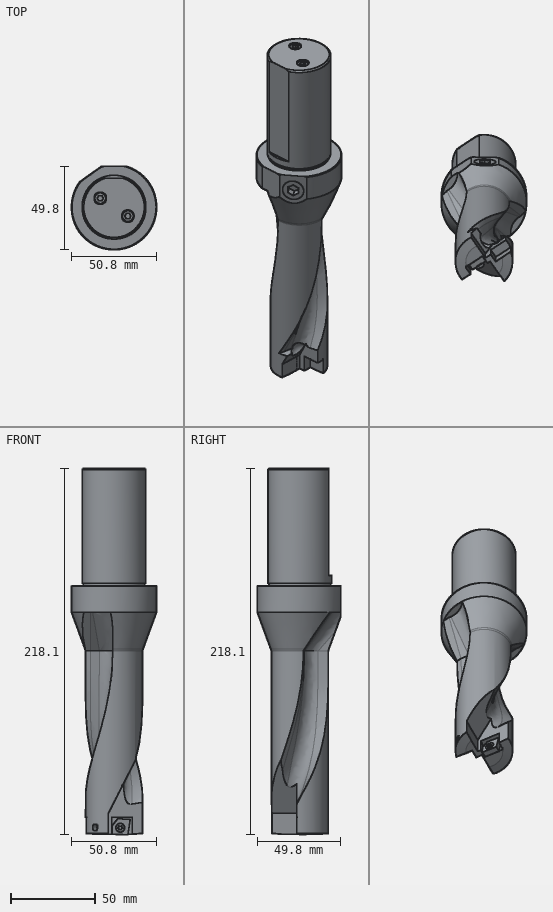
import cadquery as cq
import math

total_length = 218.11
shank_length = 70.0
shank_radius = 19.0
shank_chamfer = 1.0
neck_radius = 18.4
neck_length = 1.5
weldon_flat_distance = 17.2
weldon_flat_start = 6.2

flange_radius = 25.4
flange_height = 15.6
flange_edge_chamfer = 0.4
top_flat_angle = 90
top_flat_distance = 24.4
plug_flat_angle = 125.5
plug_flat_distance = 24.05
cone_height = 21.8
cone_end_radius = 17.4
drill_radius = 17.0
collar_height = 1.3

tip_rim_height = 0.9
tip_face_height = 0.4
tip_face_radius = 11.0

flange_z = total_length - shank_length
cone_top_z = flange_z - flange_height
cone_bottom_z = cone_top_z - cone_height
drill_top_z = cone_bottom_z - collar_height

flute_wall_x = -0.8
flute_wall_y = -2.7
flute_corner_radius = 8.0
flute_margin_x = -14.0
flute_margin_slope = 0.2
flute_reach = 40.0
flute_end_z = 17.0
flute_ball_radius = 5.0
flute_straight_z = 110.0
flute_twist_rate = 0.0113
flute_sections = 12
runout_rise = 23.0
runout_shift = 16.0
runout_corner_radius = 12.0

chip_face_y = -1.7
inner_chip_wall = (-3.3, 13.0)
outer_chip_wall = (2.2, 10.0)
chip_slant_run = 15.8
chip_slant_rise = 31.0

seat_floor = 3.6
seat_height = 10.6
inner_seat_x = (-1.4, 10.8)
outer_seat_x = (6.0, 20.0)

insert_corners = [(-1.2, 0.4), (8.2, 0.0), (9.6, 9.2), (2.3, 9.7), (-0.9, 5.9)]
insert_corner_radius = 0.4
screw_x = 3.7
screw_z = 4.3
screw_head_radius = 2.6
screw_head_height = 1.6
screw_shank_radius = 1.6
screw_length = 9.0
screw_socket_size = 2.4
screw_socket_depth = 1.2

land_hole_angle = -131.7
land_hole_z = 4.5
land_hole_radius = 2.0
land_hole_depth = 4.0

flange_plug_drop = 10.2
flange_plug_radius = 6.35
flange_plug_length = 9.0
flange_plug_key = 6.35
flange_plug_socket_depth = 5.0
shank_plug_x = 8.2
shank_plug_y = 5.3
shank_plug_radius = 3.2
shank_plug_length = 7.0
shank_plug_key = 3.2
shank_plug_socket_depth = 3.0
shank_plug_recess = 0.5
shank_plug_mouth_chamfer = 0.5


def direction(angle):
    return cq.Vector(math.cos(math.radians(angle)), math.sin(math.radians(angle)), 0)


def half_turn(shape):
    return shape.rotate((0, 0, 0), (0, 0, 1), 180)


def make_blank():
    outline = [
        (0, tip_face_height),
        (tip_face_radius, tip_face_height),
        (drill_radius, tip_rim_height),
        (drill_radius, drill_top_z),
        (cone_end_radius, cone_bottom_z),
        (flange_radius, cone_top_z),
        (flange_radius, flange_z - flange_edge_chamfer),
        (flange_radius - flange_edge_chamfer, flange_z),
        (neck_radius, flange_z),
        (neck_radius, flange_z + neck_length),
        (shank_radius, flange_z + neck_length),
        (shank_radius, total_length - shank_chamfer),
        (shank_radius - shank_chamfer, total_length),
        (0, total_length),
    ]
    return cq.Workplane("XZ").polyline(outline).close().revolve(360, (0, 0), (0, 1))


def make_flat_cutter(angle, distance, bottom, top):
    span = 2 * flange_radius
    block = cq.Workplane("XY").box(span, span, top - bottom, centered=(False, True, False))
    return block.translate((distance, 0, bottom)).rotate((0, 0, 0), (0, 0, 1), angle)


def flute_section(z, twist, shift=0.0, corner_radius=flute_corner_radius):
    margin_rise = flute_margin_slope * (flute_reach + flute_margin_x)
    section = (
        cq.Workplane("XY")
        .moveTo(flute_wall_x, -flute_reach)
        .lineTo(flute_wall_x, flute_wall_y - corner_radius)
        .radiusArc((flute_wall_x - corner_radius, flute_wall_y), -corner_radius)
        .lineTo(flute_margin_x, flute_wall_y)
        .lineTo(-flute_reach, flute_wall_y + margin_rise)
        .lineTo(-flute_reach, -flute_reach)
        .close()
        .val()
    )
    turned = section.rotate(cq.Vector(0, 0, 0), cq.Vector(0, 0, 1), twist)
    return turned.translate(cq.Vector(0, -shift, z))


def flute_twist(z):
    return -flute_twist_rate * (flute_straight_z - z) ** 2


def make_flute():
    step = (drill_top_z - flute_end_z) / flute_sections
    heights = [flute_end_z + step * i for i in range(flute_sections + 1)]
    helix = cq.Solid.makeLoft([flute_section(z, flute_twist(z)) for z in heights])
    top_twist = flute_twist(drill_top_z)
    runout = cq.Solid.makeLoft(
        [
            flute_section(drill_top_z, top_twist),
            flute_section(
                drill_top_z + runout_rise, top_twist, runout_shift, runout_corner_radius
            ),
        ],
        True,
    )
    ball_center = cq.Vector(
        flute_wall_x - flute_ball_radius, flute_wall_y - flute_ball_radius, flute_end_z
    )
    ball = (
        cq.Workplane("XY")
        .sphere(flute_ball_radius)
        .translate(ball_center)
        .rotate((0, 0, 0), (0, 0, 1), flute_twist(flute_end_z))
    )
    return [cq.Workplane(helix), cq.Workplane(runout), ball]


def make_chip_face(wall):
    wall_x, wall_height = wall
    slant_end_x = wall_x + chip_slant_run
    slant_end_z = wall_height + chip_slant_rise
    return (
        cq.Workplane("XZ", origin=(0, chip_face_y, 0))
        .moveTo(wall_x, 0)
        .lineTo(wall_x, wall_height)
        .lineTo(slant_end_x, slant_end_z)
        .lineTo(flange_radius, slant_end_z)
        .lineTo(flange_radius, 0)
        .close()
        .extrude(flange_radius)
    )


def make_seat(x_range):
    start, end = x_range
    depth = seat_floor - chip_face_y
    return cq.Workplane("XY").box(end - start, depth, seat_height, centered=False).translate(
        (start, chip_face_y, 0)
    )


def make_land_hole():
    mouth = direction(land_hole_angle) * drill_radius
    plane = cq.Plane(
        origin=(mouth.x, mouth.y, land_hole_z), xDir=(0, 0, 1), normal=direction(land_hole_angle)
    )
    return cq.Workplane(plane).circle(land_hole_radius).extrude(-land_hole_depth)


def make_screw_blank():
    profile = [
        (0, 0),
        (screw_head_radius, 0),
        (screw_shank_radius, screw_head_height),
        (screw_shank_radius, screw_length),
        (0, screw_length),
    ]
    screw = cq.Workplane("XY").polyline(profile).close().revolve(360, (0, 0), (0, 1))
    return screw.translate((screw_x, 0, screw_z))


def make_screw():
    socket = (
        cq.Workplane("XZ", origin=(screw_x, 0, screw_z))
        .polygon(6, screw_socket_size)
        .extrude(-screw_socket_depth)
    )
    return make_screw_blank().cut(socket)


def make_insert():
    plate = cq.Workplane("XZ").polyline(insert_corners).close().extrude(-seat_floor)
    return plate.edges("|Y").edges(">X or <X or >Z").fillet(insert_corner_radius).cut(make_screw_blank())


def make_plug_blank(plane, radius, length):
    return cq.Workplane(plane).circle(radius).extrude(-length)


def make_plug(plane, radius, length, key, socket_depth):
    corner_diameter = key / math.cos(math.radians(30))
    socket = cq.Workplane(plane).polygon(6, corner_diameter).extrude(-socket_depth)
    return make_plug_blank(plane, radius, length).cut(socket)


flange_plug_normal = direction(plug_flat_angle)
flange_plug_face = flange_plug_normal * plug_flat_distance
flange_plug_plane = cq.Plane(
    origin=(flange_plug_face.x, flange_plug_face.y, flange_z - flange_plug_drop),
    xDir=(0, 0, 1),
    normal=flange_plug_normal,
)
shank_plug_planes = [
    cq.Plane(origin=(-side * shank_plug_x, side * shank_plug_y, total_length - shank_plug_recess))
    for side in (1, -1)
]

body = make_blank()
body = body.cut(make_flat_cutter(top_flat_angle, top_flat_distance, drill_top_z, flange_z))
body = body.cut(make_flat_cutter(plug_flat_angle, plug_flat_distance, drill_top_z, flange_z))
body = body.cut(
    make_flat_cutter(top_flat_angle, weldon_flat_distance, flange_z + weldon_flat_start, total_length)
)
for cutter in make_flute():
    body = body.cut(cutter).cut(half_turn(cutter))
body = body.cut(make_chip_face(inner_chip_wall)).cut(half_turn(make_chip_face(outer_chip_wall)))
body = body.cut(make_seat(inner_seat_x)).cut(half_turn(make_seat(outer_seat_x)))
body = body.cut(make_land_hole())
body = body.cut(make_screw_blank())

body = body.cut(make_plug_blank(flange_plug_plane, flange_plug_radius, flange_plug_length))
for plane in shank_plug_planes:
    body = body.cut(make_plug_blank(plane, shank_plug_radius, shank_plug_length))
    mouth = cq.Workplane(plane).circle(shank_plug_radius).workplane(offset=shank_plug_recess)
    mouth = mouth.circle(shank_plug_radius + shank_plug_mouth_chamfer).loft(ruled=True)
    body = body.cut(mouth)

insert = make_insert()
insert_screw = make_screw()
flange_plug = make_plug(
    flange_plug_plane,
    flange_plug_radius,
    flange_plug_length,
    flange_plug_key,
    flange_plug_socket_depth,
)
shank_plugs = [
    make_plug(plane, shank_plug_radius, shank_plug_length, shank_plug_key, shank_plug_socket_depth)
    for plane in shank_plug_planes
]

result = cq.Compound.makeCompound(
    [
        body.val(),
        insert.val(),
        insert_screw.val(),
        flange_plug.val(),
        *[plug.val() for plug in shank_plugs],
    ]
)